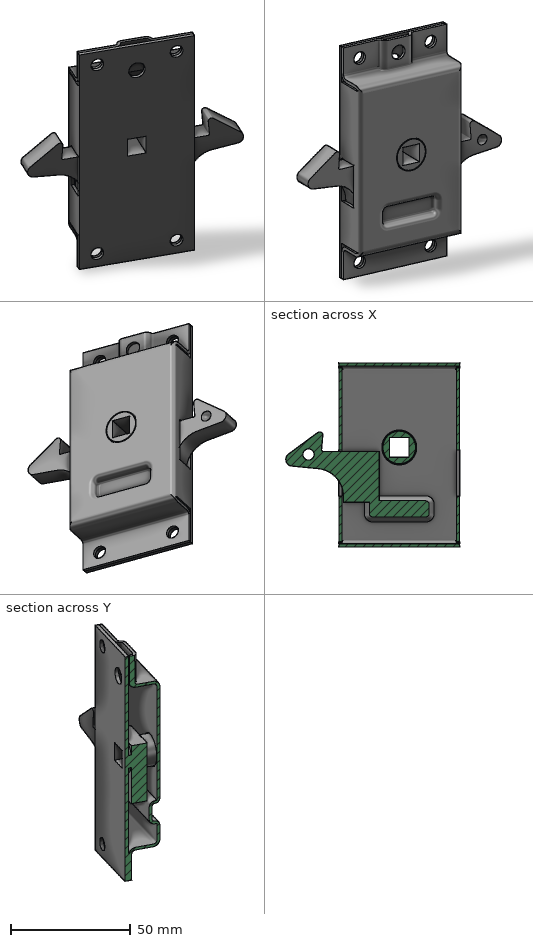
import cadquery as cq
import math


height = 104.8
width = 50.9
plate_thickness = 1.7
sheet = 1.5
cover_depth = 14.3
box_half_height = 38.7
end_fold_radius = 3.0
side_fold_radius = 2.0
flange_bend_radius = 1.7
side_wall_half_height = 36.5

mount_hole_diameter = 5.6
mount_hole_y = 17.5
mount_hole_z = 46.1

tab_rise = 2.6
tab_flat_half_width = 5.1
tab_crest_radius = 2.6
tab_foot_radius = 0.8
tab_base_fillet = 0.8
tab_hole_diameter = 6.4
tab_hole_z = 45.9
plate_hole_diameter = 7.1
plate_hole_z = 40.2

bead_length = 30.9
bead_height = 12.7
bead_z = -22.6
bead_edge_radius = 2.3
bead_floor_radius = 1.3
bead_corner_radius = 2.1
bead_wall = 0.02
bead_depth = bead_edge_radius + bead_wall + bead_floor_radius

hub_diameter = 13.8
hub_clearance_diameter = 14.5
hub_flange_diameter = 15.9
hub_flange_thickness = 1.2
hub_z = 3.1
drive_square = 8.2
carrier_front_x = -8.4
carrier_half_width = 10.5
carrier_top_z = 10.5
carrier_bottom_z = -16.8

hook_thickness = 9.0
hook_shift = 0.3
neck_z = 1.5
arm_inner_y = 8.4
leg_y = 23.5
leg_bottom_z = -19.9
barb_root = (32.6, neck_z)
barb_peak = (31.7, 11.2)
hook_nose = (52.4, -4.0)
belly_y = leg_y
belly_z = -6.8
barb_root_radius = 0.6
barb_peak_radius = 1.4
nose_radius = 2.8
belly_radius = 11.5
dimple_sphere_diameter = 5.6
dimple_depth = 1.3
dimple_y = -38.0
dimple_z = 0.2

slot_top = 2.0
slot_bottom = -17.3
slot_depth = hook_thickness + hook_shift


def block(x_range, y_range, z_range):
    """Box spanning the given (low, high) ranges."""
    sizes = [high - low for low, high in (x_range, y_range, z_range)]
    return (
        cq.Workplane("XY")
        .box(*sizes, centered=False)
        .translate((x_range[0], y_range[0], z_range[0]))
    )


def x_cylinder(diameter, x_range, y, z):
    """Cylinder along X between the two ends of x_range."""
    return (
        cq.Workplane("YZ", origin=(x_range[0], y, z))
        .circle(diameter / 2)
        .extrude(x_range[1] - x_range[0])
    )


def fillet_at(body, point, radius):
    """Round the edge whose middle is nearest to the point."""
    return body.edges(cq.selectors.NearestToPointSelector(point)).fillet(radius)


def hat_solid(front_x, foot_x, half_height, fold_radius, bend_radius, half_width):
    """Solid bounded by one face of the hat-shaped sheet and by X = 0."""
    flange_end = height / 2
    outline = [
        (0, -flange_end),
        (foot_x, -flange_end),
        (foot_x, -half_height),
        (front_x, -half_height),
        (front_x, half_height),
        (foot_x, half_height),
        (foot_x, flange_end),
        (0, flange_end),
    ]
    hat = cq.Workplane("XZ").polyline(outline).close().extrude(half_width, both=True)
    for side in (-1, 1):
        hat = fillet_at(hat, (front_x, 0, side * half_height), fold_radius)
        hat = fillet_at(hat, (foot_x, 0, side * half_height), bend_radius)
    return hat


def side_rounded(front_x, half_width, radius):
    """Full-height prism whose two front corners are rounded."""
    prism = block((front_x, 1), (-half_width, half_width), (-height, height))
    return prism.edges("|Z and <X").fillet(radius)


def tab_solid(foot_x, crest_radius, foot_radius, bottom_z):
    """Bump on a flange whose foot is at foot_x, closed by a flat back."""
    swing = math.acos(1 - tab_rise / (crest_radius + foot_radius))
    foot_y = tab_flat_half_width + (crest_radius + foot_radius) * math.sin(swing)
    crest_x = foot_x - tab_rise
    turn_x = crest_x + crest_radius * (1 - math.cos(swing))
    turn_y = tab_flat_half_width + crest_radius * math.sin(swing)
    mid_crest_x = crest_x + crest_radius * (1 - math.cos(swing / 2))
    mid_crest_y = tab_flat_half_width + crest_radius * math.sin(swing / 2)
    mid_foot_x = foot_x - foot_radius * (1 - math.cos(swing / 2))
    mid_foot_y = foot_y - foot_radius * math.sin(swing / 2)
    return (
        cq.Workplane("XY", origin=(0, 0, bottom_z))
        .moveTo(foot_x, -foot_y)
        .threePointArc((mid_foot_x, -mid_foot_y), (turn_x, -turn_y))
        .threePointArc((mid_crest_x, -mid_crest_y), (crest_x, -tab_flat_half_width))
        .lineTo(crest_x, tab_flat_half_width)
        .threePointArc((mid_crest_x, mid_crest_y), (turn_x, turn_y))
        .threePointArc((mid_foot_x, mid_foot_y), (foot_x, foot_y))
        .lineTo(foot_x + sheet, foot_y)
        .lineTo(foot_x + sheet, -foot_y)
        .close()
        .extrude(height / 2 - bottom_z)
    )


def rounded_bead(grow, depth, end_radius):
    """Bead body running inward from the cover face, enlarged sideways by grow."""
    length = bead_length - 2 * bead_edge_radius + 2 * grow
    tall = bead_height - 2 * bead_edge_radius + 2 * grow
    return (
        cq.Workplane("YZ", origin=(-cover_depth, 0, bead_z))
        .rect(length, tall)
        .extrude(depth)
        .edges("|X")
        .fillet(bead_corner_radius + grow)
        .faces(">X")
        .edges()
        .fillet(end_radius)
    )


def make_cover():
    half_width = width / 2
    inner_half_width = half_width - sheet
    inner_half_height = box_half_height - sheet

    outside = hat_solid(
        -cover_depth, -sheet, box_half_height, end_fold_radius, flange_bend_radius, half_width
    ).intersect(side_rounded(-cover_depth, half_width, side_fold_radius))
    outside = outside.union(
        tab_solid(-sheet, tab_crest_radius, tab_foot_radius, box_half_height - sheet)
    )
    tab_face_x = -sheet - tab_rise
    outside = fillet_at(outside, (tab_face_x, 0, box_half_height), tab_base_fillet)

    across = hat_solid(
        -cover_depth + sheet,
        -0.001,
        inner_half_height,
        end_fold_radius - sheet,
        flange_bend_radius + sheet,
        half_width,
    )
    cavity = across.intersect(
        side_rounded(-cover_depth + sheet, inner_half_width, side_fold_radius - sheet)
    )
    cover = outside.cut(cavity)

    for side in (-1, 1):
        z_ends = sorted((side * side_wall_half_height, side * height / 2))
        gap = block((side_fold_radius - cover_depth, 0), (-half_width, half_width), z_ends)
        cover = cover.cut(gap.intersect(across))

    tunnel = tab_solid(
        0, tab_crest_radius - sheet, tab_foot_radius + sheet, side_wall_half_height
    )
    cover = cover.cut(tunnel)

    cover = cover.union(rounded_bead(sheet, bead_depth + sheet, bead_floor_radius + sheet))
    cover = cover.cut(rounded_bead(0, bead_depth, bead_floor_radius))
    bead_rim = cq.selectors.BoxSelector(
        (-cover_depth - 0.1, -bead_length / 2, bead_z - bead_height / 2),
        (-cover_depth + 0.1, bead_length / 2, bead_z + bead_height / 2),
    )
    cover = cover.edges(bead_rim).fillet(bead_edge_radius)

    cover = cover.cut(
        x_cylinder(hub_clearance_diameter, (-cover_depth, sheet - cover_depth), 0, hub_z)
    )
    cover = cover.cut(block((-slot_depth, 0), (-width, width), (slot_bottom, slot_top)))
    return cover.cut(x_cylinder(tab_hole_diameter, (-cover_depth, 0), 0, tab_hole_z))


def make_plate():
    plate = block(
        (0, plate_thickness), (-width / 2, width / 2), (-height / 2, height / 2)
    )
    return plate.cut(x_cylinder(plate_hole_diameter, (0, plate_thickness), 0, plate_hole_z))


def make_hook(front_x, side):
    """Hook reaching outward on the given side, with its arm running in to the carrier."""
    outline = [
        (arm_inner_y, neck_z),
        barb_root,
        barb_peak,
        hook_nose,
        (belly_y, belly_z),
        (leg_y, leg_bottom_z),
        (arm_inner_y, leg_bottom_z),
    ]
    hook = (
        cq.Workplane("YZ", origin=(front_x, 0, 0))
        .polyline(outline)
        .close()
        .extrude(hook_thickness)
    )
    middle_x = front_x + hook_thickness / 2
    for corner, radius in (
        (barb_root, barb_root_radius),
        (barb_peak, barb_peak_radius),
        (hook_nose, nose_radius),
        ((belly_y, belly_z), belly_radius),
    ):
        hook = fillet_at(hook, (middle_x, *corner), radius)
    return hook if side > 0 else hook.mirror("XZ")


def make_dimple(front_x):
    """Spherical dimple in the front face of a hook."""
    radius = dimple_sphere_diameter / 2
    center = (front_x + dimple_depth - radius, dimple_y, dimple_z)
    return cq.Workplane("YZ", origin=center).sphere(radius)


def make_hub():
    """Hub with a round rear flange and the carrier block that joins it to both hooks."""
    hub = x_cylinder(hub_diameter, (-cover_depth, 0), 0, hub_z)
    flange = x_cylinder(hub_flange_diameter, (-hub_flange_thickness, 0), 0, hub_z)
    carrier = block(
        (carrier_front_x, -hub_flange_thickness),
        (-carrier_half_width, carrier_half_width),
        (carrier_bottom_z, carrier_top_z),
    )
    return hub.union(flange).union(carrier)


near_hook_x = -hook_thickness - hook_shift
mechanism = make_hub().union(make_hook(-hook_thickness, 1))
mechanism = mechanism.union(make_hook(near_hook_x, -1).cut(make_dimple(near_hook_x)))
result = make_cover().union(make_plate()).union(mechanism)

half_square = drive_square / 2
result = result.cut(
    block(
        (-cover_depth, plate_thickness),
        (-half_square, half_square),
        (hub_z - half_square, hub_z + half_square),
    )
)
for y in (-mount_hole_y, mount_hole_y):
    for z in (-mount_hole_z, mount_hole_z):
        result = result.cut(x_cylinder(mount_hole_diameter, (-sheet, plate_thickness), y, z))